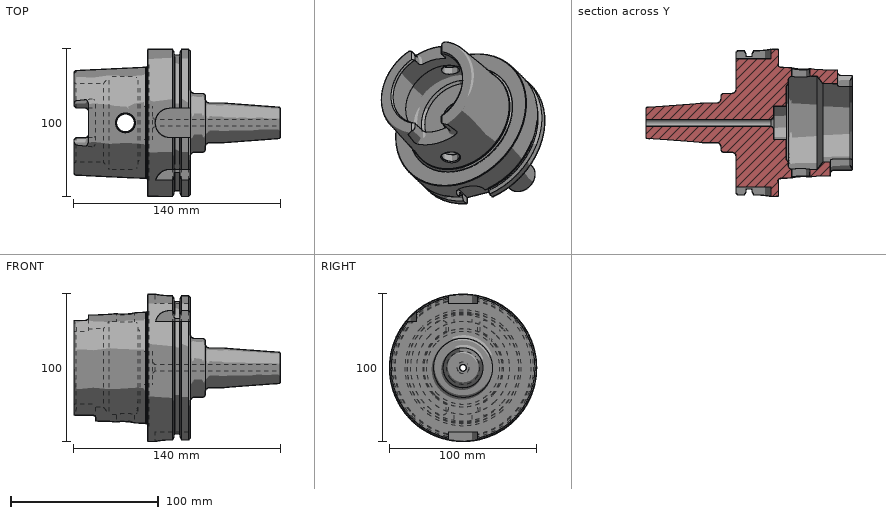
import cadquery as cq
import math


LENGTH = 140.0
SHANK_TAPER_END = 47.6
FLANGE_START = 50.0
FLANGE_END = 79.0
SHOULDER_END = 89.2
NOSE_TAPER_START = 101.6

SHANK_END_RADIUS = 35.5
SHANK_RADIUS = 75.5 / 2
SHANK_ROUNDING = 2.0
RECESS_RADIUS = 39.3
COLLAR_RADIUS = 38.0
COLLAR_RISE_START = 48.5
COLLAR_RISE_END = 48.9
FLARE_START = 49.4

FLANGE_RADIUS = 100.0 / 2
FLANGE_BACK_CHAMFER = 0.4
FLANGE_FRONT_CHAMFER = 1.3
GROOVE_CENTRE = 70.0
GROOVE_FLOOR_WIDTH = 3.9
GROOVE_MOUTH_WIDTH = 6.3
GROOVE_LIP_RADIUS = 47.7
GROOVE_FLOOR_RADIUS = 46.0
GROOVE_CORNER_FILLET = 0.49

SHOULDER_RADIUS = 40.0 / 2
SHOULDER_ROUNDING = 2.1
CORNER_FILLET = 2.8
NECK_RADIUS = 27.0 / 2
NOSE_END_RADIUS = 10.6
NOSE_ROUNDING = 1.3

BORE_RADIUS = 53.0 / 2
BORE_CHAMFER_LENGTH = 1.5
BORE_CHAMFER_HEIGHT = 0.8
BORE_LIP = 20.0
CLAMP_RADIUS = 63.0 / 2
CLAMP_CONE_ANGLE = 52.0
CLAMP_END = 43.4
CLAMP_FILLET = 2.8
FLOOR_STEP_RADIUS = 26.6
CAVITY_FLOOR_RADIUS = 24.8
CAVITY_DEPTH = 44.8
SOCKET_RADIUS = 22.4 / 2
SOCKET_DEPTH = 8.4
COUNTERSINK_RADIUS = 8.0 / 2
COOLANT_RADIUS = 4.3 / 2

SLOT_HALF_WIDTH = 10.0
SLOT_FLARE_RADIUS = 4.9
SLOT_FLARE_HEIGHT = 32.2
SLOT_FLOOR_FILLET = 2.1
SLOT_CHAMFER = 1.7
TOP_SLOT_DEPTH = 10.0
BOTTOM_SLOT_DEPTH = 14.8

CROSS_HOLE_X = 35.0
CROSS_HOLE_RADIUS = 12.0 / 2
CROSS_HOLE_CHAMFER = 0.7

KEYWAY_WIDTH = 19.9
KEYWAY_START = 55.2
KEYWAY_FLOOR = 43.5
NOTCH_CORNER = 31.5

CLEARANCE = 2.8


def revolve(outline):
    return outline.close().revolve(360, (0, 0, 0), (1, 0, 0))


def body():
    fillet = CORNER_FILLET
    outline = (
        cq.Workplane("XY")
        .lineTo(0, SHANK_END_RADIUS - SHANK_ROUNDING)
        .radiusArc((SHANK_ROUNDING, SHANK_END_RADIUS), SHANK_ROUNDING)
        .lineTo(SHANK_TAPER_END, SHANK_RADIUS)
        .lineTo(COLLAR_RISE_START, SHANK_RADIUS)
        .lineTo(COLLAR_RISE_END, COLLAR_RADIUS)
        .lineTo(FLARE_START, COLLAR_RADIUS)
        .lineTo(FLARE_START + RECESS_RADIUS - COLLAR_RADIUS, RECESS_RADIUS)
        .lineTo(FLANGE_START, RECESS_RADIUS)
        .lineTo(FLANGE_START, FLANGE_RADIUS - FLANGE_BACK_CHAMFER)
        .lineTo(FLANGE_START + FLANGE_BACK_CHAMFER, FLANGE_RADIUS)
        .lineTo(FLANGE_END - FLANGE_FRONT_CHAMFER, FLANGE_RADIUS)
        .lineTo(FLANGE_END, FLANGE_RADIUS - FLANGE_FRONT_CHAMFER)
        .lineTo(FLANGE_END, SHOULDER_RADIUS + fillet)
        .radiusArc((FLANGE_END + fillet, SHOULDER_RADIUS), -fillet)
        .lineTo(SHOULDER_END - SHOULDER_ROUNDING, SHOULDER_RADIUS)
        .radiusArc((SHOULDER_END, SHOULDER_RADIUS - SHOULDER_ROUNDING), SHOULDER_ROUNDING)
        .lineTo(SHOULDER_END, NECK_RADIUS + fillet)
        .radiusArc((SHOULDER_END + fillet, NECK_RADIUS), -fillet)
        .lineTo(NOSE_TAPER_START, NECK_RADIUS)
        .lineTo(LENGTH, NOSE_END_RADIUS)
        .lineTo(LENGTH, 0)
    )
    return revolve(outline).faces(">X").fillet(NOSE_ROUNDING)


def gripper_groove():
    half_floor = GROOVE_FLOOR_WIDTH / 2
    half_mouth = GROOVE_MOUTH_WIDTH / 2
    corner_x = half_floor - GROOVE_CORNER_FILLET
    corner_radius = GROOVE_FLOOR_RADIUS + GROOVE_CORNER_FILLET
    outline = (
        cq.Workplane("XY", origin=(GROOVE_CENTRE, 0, 0))
        .moveTo(-half_mouth, FLANGE_RADIUS + CLEARANCE)
        .lineTo(-half_mouth, FLANGE_RADIUS)
        .lineTo(-half_floor, GROOVE_LIP_RADIUS)
        .lineTo(-half_floor, corner_radius)
        .radiusArc((-corner_x, GROOVE_FLOOR_RADIUS), -GROOVE_CORNER_FILLET)
        .lineTo(corner_x, GROOVE_FLOOR_RADIUS)
        .radiusArc((half_floor, corner_radius), -GROOVE_CORNER_FILLET)
        .lineTo(half_floor, GROOVE_LIP_RADIUS)
        .lineTo(half_mouth, FLANGE_RADIUS)
        .lineTo(half_mouth, FLANGE_RADIUS + CLEARANCE)
    )
    return revolve(outline)


def clamping_cavity():
    cone_length = (CLAMP_RADIUS - BORE_RADIUS) / math.tan(math.radians(CLAMP_CONE_ANGLE))
    socket_floor = CAVITY_DEPTH + SOCKET_DEPTH
    outline = (
        cq.Workplane("XY")
        .lineTo(0, BORE_RADIUS + BORE_CHAMFER_HEIGHT)
        .lineTo(BORE_CHAMFER_LENGTH, BORE_RADIUS)
        .lineTo(BORE_LIP, BORE_RADIUS)
        .lineTo(BORE_LIP + cone_length, CLAMP_RADIUS)
        .lineTo(CLAMP_END - CLAMP_FILLET, CLAMP_RADIUS)
        .radiusArc((CLAMP_END, CLAMP_RADIUS - CLAMP_FILLET), CLAMP_FILLET)
        .lineTo(CLAMP_END, FLOOR_STEP_RADIUS)
        .lineTo(CAVITY_DEPTH, CAVITY_FLOOR_RADIUS)
        .lineTo(CAVITY_DEPTH, SOCKET_RADIUS)
        .lineTo(socket_floor, SOCKET_RADIUS)
        .lineTo(socket_floor, COUNTERSINK_RADIUS)
        .lineTo(socket_floor + COUNTERSINK_RADIUS - COOLANT_RADIUS, COOLANT_RADIUS)
        .lineTo(LENGTH, COOLANT_RADIUS)
        .lineTo(LENGTH, 0)
    )
    return revolve(outline)


def drive_slot(depth):
    """Flared slot across the upper shank wall, with a filleted floor and a chamfered mouth."""
    outer_z = SHANK_RADIUS + CLEARANCE
    flare_start = SLOT_FLARE_HEIGHT - SLOT_FLARE_RADIUS
    flare_y = SLOT_HALF_WIDTH + SLOT_FLARE_RADIUS
    outer_y = flare_y + 2 * CLEARANCE
    slot = (
        cq.Workplane("YZ")
        .moveTo(-SLOT_HALF_WIDTH, 0)
        .lineTo(-SLOT_HALF_WIDTH, flare_start)
        .radiusArc((-flare_y, SLOT_FLARE_HEIGHT), -SLOT_FLARE_RADIUS)
        .lineTo(-outer_y, SLOT_FLARE_HEIGHT)
        .lineTo(-outer_y, outer_z)
        .lineTo(outer_y, outer_z)
        .lineTo(outer_y, SLOT_FLARE_HEIGHT)
        .lineTo(flare_y, SLOT_FLARE_HEIGHT)
        .radiusArc((SLOT_HALF_WIDTH, flare_start), -SLOT_FLARE_RADIUS)
        .lineTo(SLOT_HALF_WIDTH, 0)
        .close()
        .extrude(depth)
        .faces(">X")
        .edges()
        .fillet(SLOT_FLOOR_FILLET)
    )
    mouth_half_width = SLOT_HALF_WIDTH + SLOT_CHAMFER
    mouth = (
        cq.Workplane("XY")
        .polyline([
            (0, -mouth_half_width),
            (SLOT_CHAMFER, -SLOT_HALF_WIDTH),
            (SLOT_CHAMFER, SLOT_HALF_WIDTH),
            (0, mouth_half_width),
        ])
        .close()
        .extrude(outer_z)
    )
    return slot.union(mouth)


def drill_cross_hole(part):
    """Hole along Z through the still solid shank, with chamfered rims on the taper."""
    plane = cq.Workplane("XY", origin=(CROSS_HOLE_X, 0, 0))
    drilled = part.cut(plane.circle(CROSS_HOLE_RADIUS).extrude(SHANK_RADIUS + CLEARANCE, both=True))
    reach = CROSS_HOLE_RADIUS + CLEARANCE
    height = SHANK_RADIUS + CLEARANCE
    rims = cq.selectors.BoxSelector(
        (CROSS_HOLE_X - reach, -reach, -height),
        (CROSS_HOLE_X + reach, reach, height),
        boundingbox=True,
    )
    return drilled.edges(rims).edges("not %LINE").chamfer(CROSS_HOLE_CHAMFER)


def flange_slot(centre_y, floor_z):
    """Slot open to the nose side and upward, with a full-round end towards the shank."""
    radius = KEYWAY_WIDTH / 2
    round_centre = KEYWAY_START + radius
    straight = FLANGE_END - round_centre
    plane = cq.Workplane("XY", origin=(round_centre, centre_y, floor_z))
    height = FLANGE_RADIUS + CLEARANCE - floor_z
    round_end = plane.circle(radius).extrude(height)
    channel = plane.center(straight / 2, 0).rect(straight, KEYWAY_WIDTH).extrude(height)
    return round_end.union(channel)


result = drill_cross_hole(body()).cut(gripper_groove()).cut(clamping_cavity())
result = result.cut(drive_slot(TOP_SLOT_DEPTH))
result = result.cut(drive_slot(BOTTOM_SLOT_DEPTH).mirror("XY"))

keyway = flange_slot(0, KEYWAY_FLOOR)
notch = flange_slot(-NOTCH_CORNER - KEYWAY_WIDTH / 2, NOTCH_CORNER)
result = result.cut(keyway).cut(keyway.mirror("XY")).cut(notch)